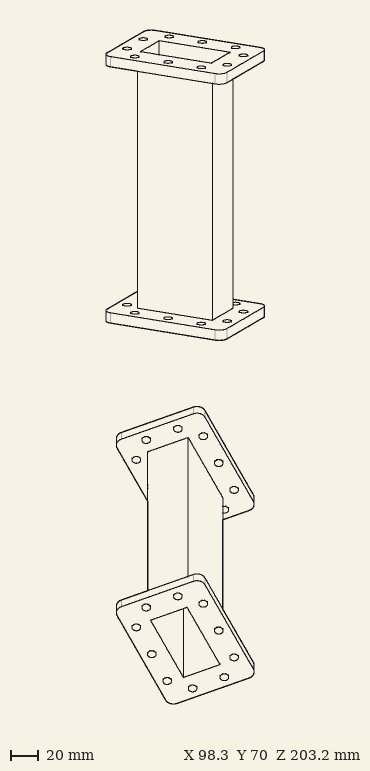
import cadquery as cq

length = 203.2
flange_width = 98.3
flange_depth = 70.0
flange_thickness = 8.0
corner_radius = 6.3

bore_width = 58.1
bore_depth = 29.0
wall = 1.6
tube_width = bore_width + 2 * wall
tube_depth = bore_depth + 2 * wall

hole_diameter = 6.3
long_row_pitch = 27.2
long_row_offset = 26.6
short_row_pitch = 25.2
short_row_offset = 41.0

long_row_holes = [
    (column * long_row_pitch, side * long_row_offset)
    for side in (-1, 1)
    for column in (-1, 0, 1)
]
short_row_holes = [
    (side * short_row_offset, end * short_row_pitch / 2)
    for side in (-1, 1)
    for end in (-1, 1)
]


def make_flange(base_height):
    """Rounded plate with its ring of bolt holes, standing on base_height."""
    plate = (
        cq.Workplane("XY")
        .workplane(offset=base_height)
        .rect(flange_width, flange_depth)
        .extrude(flange_thickness)
        .edges("|Z")
        .fillet(corner_radius)
    )
    holes = (
        cq.Workplane("XY")
        .workplane(offset=base_height)
        .pushPoints(long_row_holes + short_row_holes)
        .circle(hole_diameter / 2)
        .extrude(flange_thickness)
    )
    return plate.cut(holes)


tube = cq.Workplane("XY").rect(tube_width, tube_depth).extrude(length)
bore = cq.Workplane("XY").rect(bore_width, bore_depth).extrude(length)

result = (
    tube
    .union(make_flange(0))
    .union(make_flange(length - flange_thickness))
    .cut(bore)
)